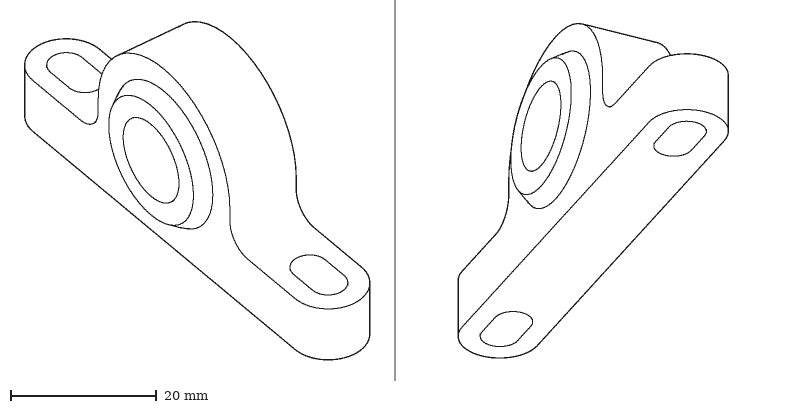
import cadquery as cq
import math

base_length = 71.12
housing_width = 11.43
base_height = 9.0
bore_height = 15.24
total_height = 30.24
boss_radius = total_height - bore_height
fillet_radius = 4.06

slot_length = 9.6
slot_width = 5.4
slot_spacing = 55.4

ring_width = 15.88
ring_bore_diameter = 12.7
ring_face_diameter = 19.3
ball_radius = math.hypot(ring_face_diameter / 2, ring_width / 2)


def make_ball_segment(width):
    """Solid slice of the ball, centred on Y = 0, with flat sides the given width apart."""
    half_width = width / 2
    face_radius = math.sqrt(ball_radius**2 - half_width**2)
    profile = (
        cq.Workplane("XY")
        .workplane(offset=bore_height)
        .moveTo(0, -half_width)
        .lineTo(face_radius, -half_width)
        .threePointArc((ball_radius, 0), (face_radius, half_width))
        .lineTo(0, half_width)
        .close()
    )
    return profile.revolve(360, (0, 0), (0, 1))


def extrude_along_y(sketch, width):
    """Extrude an XZ sketch by the given width, centred on Y = 0."""
    return sketch.extrude(width / 2, both=True)


def make_base():
    return cq.Workplane("XY").slot2D(base_length, housing_width).extrude(base_height)


def make_arch():
    """Boss with a round top, blended into the base by concave fillets."""
    foot_half_width = boss_radius + fillet_radius
    fillet_top = base_height + fillet_radius
    fillet_mid_offset = fillet_radius * math.sqrt(0.5)
    fillet_mid_x = foot_half_width - fillet_mid_offset
    fillet_mid_z = fillet_top - fillet_mid_offset
    outline = (
        cq.Workplane("XZ")
        .moveTo(-foot_half_width, 0)
        .lineTo(-foot_half_width, base_height)
        .threePointArc((-fillet_mid_x, fillet_mid_z), (-boss_radius, fillet_top))
        .lineTo(-boss_radius, bore_height)
        .threePointArc((0, total_height), (boss_radius, bore_height))
        .lineTo(boss_radius, fillet_top)
        .threePointArc((fillet_mid_x, fillet_mid_z), (foot_half_width, base_height))
        .lineTo(foot_half_width, 0)
        .close()
    )
    return extrude_along_y(outline, housing_width)


def make_slots():
    return (
        cq.Workplane("XY")
        .pushPoints([(-slot_spacing / 2, 0), (slot_spacing / 2, 0)])
        .slot2D(slot_length, slot_width)
        .extrude(base_height)
    )


def make_housing():
    body = make_base().union(make_arch())
    return body.cut(make_slots()).cut(make_ball_segment(housing_width))


def make_inner_ring():
    """Ball with flat sides, bored through along Y."""
    bore_circle = cq.Workplane("XZ").center(0, bore_height).circle(ring_bore_diameter / 2)
    return make_ball_segment(ring_width).cut(extrude_along_y(bore_circle, ring_width))


housing = make_housing()
inner_ring = make_inner_ring()

result = cq.Compound.makeCompound([housing.solids().val(), inner_ring.solids().val()])